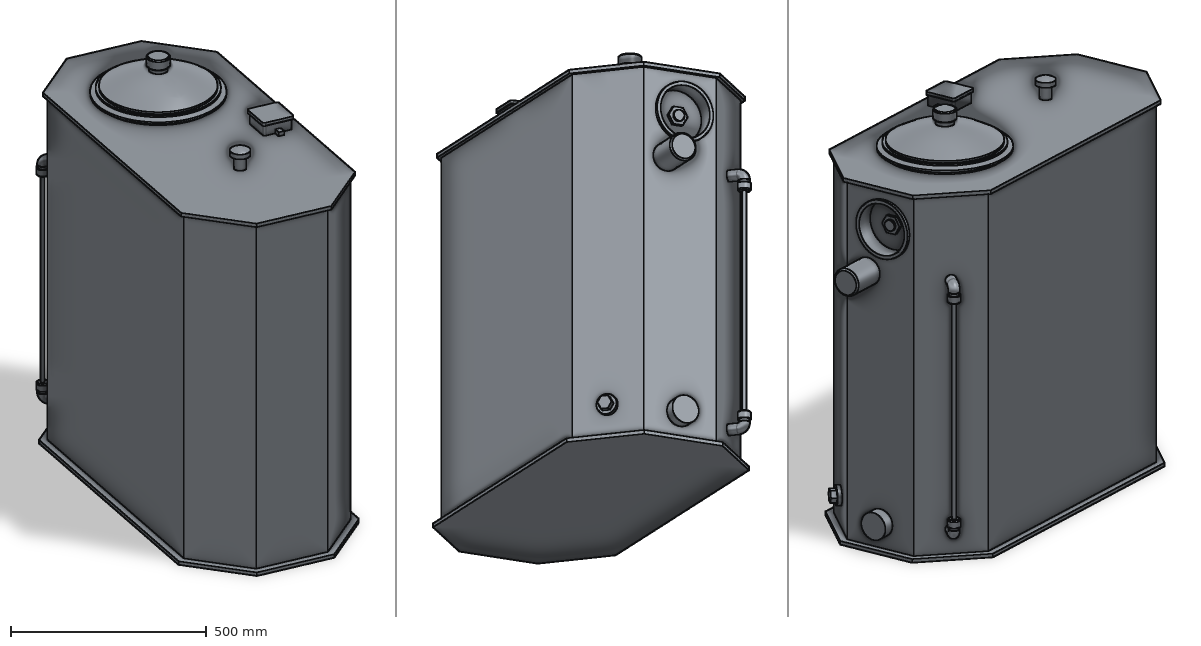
import cadquery as cq
import math

overall_length = 1150.0
base_length = 1070.0
base_depth = 520.0
base_overhang = 20.0
top_plate_overhang = 10.0
plate_thickness = 10.0
tank_top = 1005.0
corner_cut = 137.0

shell_length = base_length - 2 * base_overhang
shell_depth = base_depth - 2 * base_overhang
end_face = -shell_length / 2

cut_middle_x = end_face + corner_cut / 2
cut_middle_y = shell_depth / 2 - corner_cut / 2
front_cut_normal = cq.Vector(-1, -1, 0)
rear_cut_normal = cq.Vector(-1, 1, 0)

lid_x = -225.0
lid_foot_diameter = 321.0
lid_flange_diameter = 350.0
lid_rim_diameter = 304.0
lid_foot_height = 5.0
lid_flange_bottom = 10.0
lid_flange_top = 16.0
lid_ring_bottom = 23.0
lid_ring_top = 28.0
lid_dome_bottom = 33.0
lid_dome_top = 78.0
knob_neck_diameter = 48.0
knob_diameter = 61.0
knob_height = 30.0
knob_chamfer = 3.0
overall_height = 1124.0

box_x = 54.0
box_y = 178.0
box_cover_size = 90.0
box_cover_thickness = 9.0
box_height = 39.0
box_wall_inset = 3.0
box_corner_radius = 6.0
gland_span = 121.0
gland_width = 16.0
gland_height = 12.0

vent_x = 228.0
vent_post_diameter = 32.0
vent_cap_diameter = 53.0
vent_cap_bottom = 38.0
vent_cap_rim_top = 52.0
vent_cap_top = 61.0

cup_y = -10.0
cup_z = 889.0
cup_outer_diameter = 160.0
cup_bore_diameter = 140.0
cup_protrusion = 9.0
cup_bore_depth = 50.0
cup_floor_thickness = 10.0
cup_hex_diameter = 54.0
cup_hex_height = 9.0
cup_stud_diameter = 30.0
cup_stud_height = 15.0

pipe_diameter = 75.0
inlet_length = overall_length - base_length + base_overhang
inlet_y = 39.0
inlet_z = 761.0
inlet_chamfer = 5.0
outlet_length = 32.0
outlet_z = 79.0

gauge_bottom_z = 78.0
gauge_top_z = 761.0
gauge_standoff = 43.0
gauge_tube_diameter = 12.0
elbow_diameter = 30.0
elbow_bend_radius = 16.0
neck_diameter = 25.0
sleeve_diameter = 35.0
sleeve_start = 24.0
sleeve_end = 45.0
sleeve_chamfer = 3.0

drain_z = 94.0
drain_disc_diameter = 54.0
drain_disc_thickness = 12.0
drain_hex_diameter = 39.0
drain_hex_height = 16.0


def end_plane(y, z):
    """Plane on the connection end, its normal pointing out of the tank."""
    return cq.Plane(origin=(end_face, y, z), xDir=(0, -1, 0), normal=(-1, 0, 0))


def cut_octagon(overhang, bottom, height):
    """Prism with the shell's outline, grown evenly by an overhang."""
    prism = (
        cq.Workplane("XY", origin=(0, 0, bottom))
        .rect(shell_length + 2 * overhang, shell_depth + 2 * overhang)
        .extrude(height)
    )
    return prism.edges("|Z").chamfer(corner_cut + overhang * (2 - math.sqrt(2)))


def make_tank():
    shell = cut_octagon(0, 0, tank_top)
    base = cut_octagon(base_overhang, 0, plate_thickness)
    top_plate = cut_octagon(top_plate_overhang, tank_top - plate_thickness, plate_thickness)
    cup_hole = (
        cq.Workplane(end_plane(cup_y, cup_z))
        .circle(cup_outer_diameter / 2)
        .extrude(cup_protrusion - cup_bore_depth - cup_floor_thickness)
    )
    return shell.union(base).union(top_plate).cut(cup_hole)


def make_lid():
    dome_rise = lid_dome_top - lid_dome_bottom
    rim_radius = lid_rim_diameter / 2
    dome_radius = (rim_radius**2 + dome_rise**2) / (2 * dome_rise)
    middle_radius = rim_radius / 2
    middle_z = lid_dome_top - dome_radius + math.sqrt(dome_radius**2 - middle_radius**2)
    dome = (
        cq.Workplane("XZ")
        .moveTo(0, 0)
        .lineTo(lid_foot_diameter / 2, 0)
        .lineTo(lid_foot_diameter / 2, lid_foot_height)
        .lineTo(lid_flange_diameter / 2, lid_flange_bottom)
        .lineTo(lid_flange_diameter / 2, lid_flange_top)
        .lineTo(lid_foot_diameter / 2, lid_ring_bottom)
        .lineTo(lid_foot_diameter / 2, lid_ring_top)
        .lineTo(rim_radius, lid_ring_top)
        .lineTo(rim_radius, lid_dome_bottom)
        .threePointArc((middle_radius, middle_z), (0, lid_dome_top))
        .close()
        .revolve(360, (0, 0, 0), (0, 1, 0))
    )
    knob_bottom = overall_height - tank_top - knob_height
    neck = (
        cq.Workplane("XY", origin=(0, 0, lid_dome_bottom))
        .circle(knob_neck_diameter / 2)
        .extrude(knob_bottom - lid_dome_bottom)
    )
    knob = (
        cq.Workplane("XY", origin=(0, 0, knob_bottom))
        .circle(knob_diameter / 2)
        .extrude(knob_height)
        .faces("<Z or >Z")
        .chamfer(knob_chamfer)
    )
    return dome.union(neck).union(knob).translate((lid_x, 0, tank_top))


def make_junction_box():
    wall_size = box_cover_size - 2 * box_wall_inset
    walls = cq.Workplane("XY").rect(wall_size, wall_size).extrude(box_height - box_cover_thickness)
    cover = (
        cq.Workplane("XY", origin=(0, 0, box_height - box_cover_thickness))
        .rect(box_cover_size, box_cover_size)
        .extrude(box_cover_thickness)
    )
    walls = walls.edges("|Z").fillet(box_corner_radius)
    cover = cover.edges("|Z").fillet(box_corner_radius)
    glands = cq.Workplane("XY").rect(gland_span, gland_width).extrude(gland_height)
    return walls.union(cover).union(glands).translate((box_x, box_y, tank_top))


def make_vent():
    post_radius = vent_post_diameter / 2
    cap_radius = vent_cap_diameter / 2
    rise = vent_cap_top - vent_cap_rim_top
    dome_radius = (cap_radius**2 + rise**2) / (2 * rise)
    middle_radius = cap_radius / 2
    middle_z = vent_cap_top - dome_radius + math.sqrt(dome_radius**2 - middle_radius**2)
    return (
        cq.Workplane("XZ")
        .moveTo(0, 0)
        .lineTo(post_radius, 0)
        .lineTo(post_radius, vent_cap_bottom)
        .lineTo(cap_radius, vent_cap_bottom)
        .lineTo(cap_radius, vent_cap_rim_top)
        .threePointArc((middle_radius, middle_z), (0, vent_cap_top))
        .close()
        .revolve(360, (0, 0, 0), (0, 1, 0))
        .translate((vent_x, 0, tank_top))
    )


def make_inspection_cup():
    face = cq.Workplane(end_plane(cup_y, cup_z)).workplane(offset=cup_protrusion)
    floor = face.workplane(offset=-cup_bore_depth)
    cup = face.circle(cup_outer_diameter / 2).extrude(-cup_bore_depth - cup_floor_thickness)
    bore = face.circle(cup_bore_diameter / 2).extrude(-cup_bore_depth)
    hexagon = floor.polygon(6, cup_hex_diameter).extrude(cup_hex_height)
    stud = floor.circle(cup_stud_diameter / 2).extrude(cup_stud_height)
    return cup.cut(bore).union(hexagon).union(stud)


def make_pipe(y, z, length):
    return cq.Workplane(end_plane(y, z)).circle(pipe_diameter / 2).extrude(length)


def make_gauge_fitting():
    """Elbow with its arm along local X from the wall at X = 0, opening upward with a sleeve."""
    radius = elbow_diameter / 2
    arm_length = gauge_standoff - elbow_bend_radius
    arm = cq.Workplane("YZ").circle(radius).extrude(arm_length)
    bend = (
        cq.Workplane("YZ", origin=(arm_length, 0, 0))
        .circle(radius)
        .revolve(90, (12, elbow_bend_radius, 0), (-12, elbow_bend_radius, 0))
    )
    neck = (
        cq.Workplane("XY", origin=(gauge_standoff, 0, elbow_bend_radius))
        .circle(neck_diameter / 2)
        .extrude(sleeve_start - elbow_bend_radius)
    )
    sleeve = (
        cq.Workplane("XY", origin=(gauge_standoff, 0, sleeve_start))
        .circle(sleeve_diameter / 2)
        .extrude(sleeve_end - sleeve_start)
        .faces(">Z")
        .chamfer(sleeve_chamfer)
    )
    return arm.union(bend).union(neck).union(sleeve)


def make_level_gauge():
    height = gauge_top_z - gauge_bottom_z
    lower_fitting = make_gauge_fitting()
    upper_fitting = lower_fitting.mirror("XY", (0, 0, height / 2))
    tube = (
        cq.Workplane("XY", origin=(gauge_standoff, 0, sleeve_start))
        .circle(gauge_tube_diameter / 2)
        .extrude(height - 2 * sleeve_start)
    )
    gauge = lower_fitting.union(upper_fitting).union(tube)
    outward = math.degrees(math.atan2(front_cut_normal.y, front_cut_normal.x))
    return gauge.rotate((0, 0, 0), (0, 0, 1), outward).translate(
        (cut_middle_x, -cut_middle_y, gauge_bottom_z)
    )


def make_drain_plug():
    wall = cq.Workplane(
        cq.Plane(origin=(cut_middle_x, cut_middle_y, drain_z), xDir=(1, 1, 0), normal=rear_cut_normal)
    )
    disc = wall.circle(drain_disc_diameter / 2).extrude(drain_disc_thickness)
    hexagon = wall.polygon(6, drain_hex_diameter).extrude(drain_disc_thickness + drain_hex_height)
    return disc.union(hexagon)


tank = make_tank()
lid = make_lid()
junction_box = make_junction_box()
vent = make_vent()
inspection_cup = make_inspection_cup()
inlet_pipe = make_pipe(inlet_y, inlet_z, inlet_length).faces("<X").chamfer(inlet_chamfer)
outlet_pipe = make_pipe(0, outlet_z, outlet_length)
level_gauge = make_level_gauge()
drain_plug = make_drain_plug()

result = cq.Compound.makeCompound(
    [
        tank.val(),
        lid.val(),
        junction_box.val(),
        vent.val(),
        inspection_cup.val(),
        inlet_pipe.val(),
        outlet_pipe.val(),
        level_gauge.val(),
        drain_plug.val(),
    ]
)